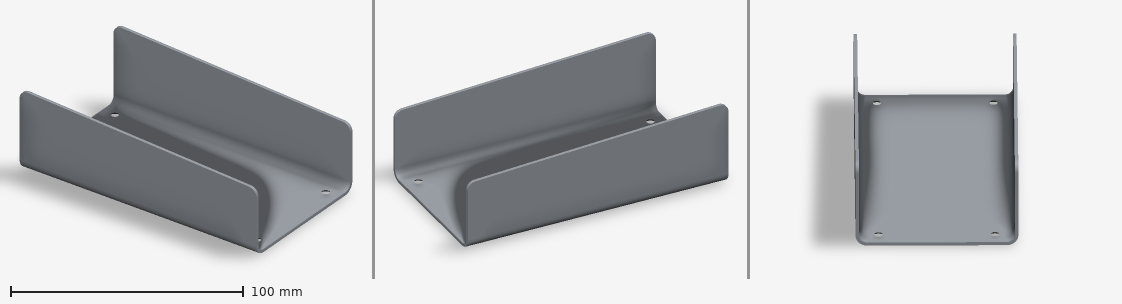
import cadquery as cq

length = 126.0
width = 70.0
sheet = 1.5
bend_radius = 5.0

tall_corner = 40.1
short_corner = 33.4
corner_radius = 4.0

hole_diameter = 3.5
hole_spacing_x = 112.1
hole_spacing_y = 50.1
sink_angle = 90
sink_diameter = hole_diameter + 2 * sheet

blank_height = 2 * tall_corner


def rounded_block(block_width, base, radius):
    """Block along X standing at height base, with its two lower long edges rounded."""
    return (
        cq.Workplane("XY", origin=(0, 0, base))
        .box(length, block_width, blank_height, centered=(True, True, False))
        .edges("|X and <Z")
        .fillet(radius)
    )


def channel():
    """Bent sheet with a U section, running along X."""
    outside = rounded_block(width, 0, bend_radius)
    inside = rounded_block(width - 2 * sheet, sheet, bend_radius - sheet)
    return outside.cut(inside)


def wall_outline():
    """Block with the side outline of the walls, rounded at the two top corners."""
    half_length = length / 2
    corners = [
        (-half_length, 0),
        (half_length, 0),
        (half_length, short_corner),
        (-half_length, tall_corner),
    ]
    return (
        cq.Workplane("XZ")
        .polyline(corners)
        .close()
        .extrude(width / 2, both=True)
        .edges("|Y and (not <Z)")
        .fillet(corner_radius)
    )


def with_floor_holes(body):
    """Add the four countersunk holes near the floor corners."""
    return (
        body.faces("<Z")
        .workplane(origin=(0, 0, 0))
        .rect(hole_spacing_x, hole_spacing_y, forConstruction=True)
        .vertices()
        .cskHole(hole_diameter, sink_diameter, sink_angle)
    )


result = with_floor_holes(channel().intersect(wall_outline()))